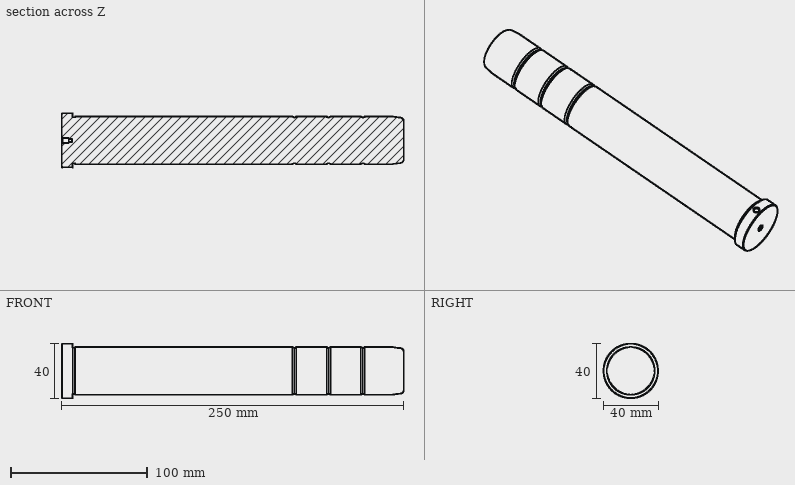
import cadquery as cq

total_length = 250.0
head_diameter = 40.0
head_length = 8.0
head_chamfer = 0.5
shank_diameter = 35.0
head_radius = head_diameter / 2
shank_radius = shank_diameter / 2

undercut_depth = 0.5
undercut_flat = 1.5
undercut_runout = 0.5

groove_width = 3.0
groove_depth = 0.8
groove_pitch = 25.0
groove_count = 3
first_groove_x = 170.0

taper_length = 5.2
taper_drop = 0.8
nose_length = 3.0

mouth_diameter = 5.0
bore_diameter = 3.5
bore_depth = 5.0
pilot_diameter = 2.0
pilot_depth = 7.5


def make_pin():
    """Revolve the half profile of head, undercut, shank and nose about X."""
    neck_radius = shank_radius - undercut_depth
    neck_end_x = head_length + undercut_flat
    nose_start_x = total_length - nose_length
    nose_radius = shank_radius - taper_drop
    return (
        cq.Workplane("XY")
        .lineTo(0, head_radius - head_chamfer)
        .lineTo(head_chamfer, head_radius)
        .lineTo(head_length, head_radius)
        .lineTo(head_length, neck_radius)
        .lineTo(neck_end_x, neck_radius)
        .lineTo(neck_end_x + undercut_runout, shank_radius)
        .lineTo(nose_start_x - taper_length, shank_radius)
        .lineTo(nose_start_x, nose_radius)
        .radiusArc((total_length, nose_radius - nose_length), nose_length)
        .lineTo(total_length, 0)
        .close()
        .revolve(360, (0, 0, 0), (1, 0, 0))
    )


def make_groove(centre_x):
    """Ring that cuts one V groove around the shank."""
    half_width = groove_width / 2
    rim_radius = shank_radius + groove_depth
    return (
        cq.Workplane("XY")
        .moveTo(centre_x - half_width, rim_radius)
        .lineTo(centre_x - half_width, shank_radius)
        .lineTo(centre_x, shank_radius - groove_depth)
        .lineTo(centre_x + half_width, shank_radius)
        .lineTo(centre_x + half_width, rim_radius)
        .close()
        .revolve(360, (0, 0, 0), (1, 0, 0))
    )


def make_head_hole():
    """Cutter for a blind stepped hole with a 45 degree mouth, going down -Z from the origin."""
    mouth_radius = mouth_diameter / 2
    bore_radius = bore_diameter / 2
    pilot_radius = pilot_diameter / 2
    countersink_depth = mouth_radius - bore_radius
    return (
        cq.Workplane("XZ")
        .lineTo(mouth_radius, 0)
        .lineTo(bore_radius, -countersink_depth)
        .lineTo(bore_radius, -bore_depth)
        .lineTo(pilot_radius, -bore_depth)
        .lineTo(pilot_radius, -pilot_depth)
        .lineTo(0, -pilot_depth)
        .close()
        .revolve(360, (0, 0, 0), (0, 1, 0))
    )


result = make_pin()
for index in range(groove_count):
    result = result.cut(make_groove(first_groove_x + index * groove_pitch))

axial_hole = make_head_hole().rotate((0, 0, 0), (0, 1, 0), -90)
rim_hole = make_head_hole().translate((head_length / 2, 0, head_radius))
result = result.cut(axial_hole).cut(rim_hole)